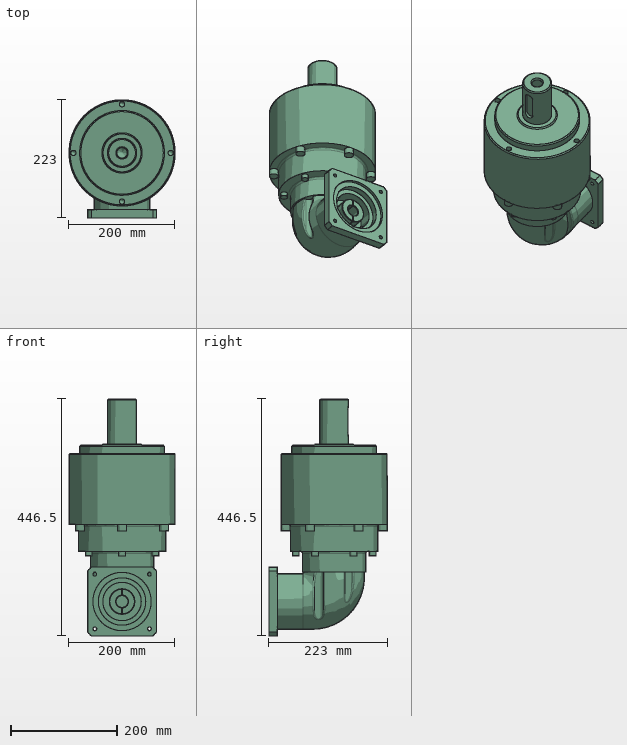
import cadquery as cq
import math


flange_side = 130.0
flange_thickness = 16.0
flange_front = -123.0
flange_corner = 7.0
flange_hole_spacing = 102.7
flange_hole_diameter = 6.5
recesses = [(110.0, 5.5), (89.5, 17.0), (72.5, 44.5)]

hub_diameter = 48.2
hub_face_depth = 17.0
hub_bore_diameter = 22.5
hub_slit_width = 2.0
hub_chamfer = 1.0

total_height = 446.5
shaft_top = total_height - flange_side / 2
collar_height = 2.2
pilot_top = 294.5
housing_top = 279.0
housing_bottom = 145.0
ring_bottom = 94.3
neck_bottom = 55.5

shaft_diameter = 55.0
collar_diameter = 76.0
pilot_diameter = 160.0
housing_diameter = 200.0
ring_diameter = 165.0
neck_diameter = 119.5
edge_chamfer = 2.2
root_fillet = 3.5

keyway_width = 16.0
keyway_length = 60.0
keyway_depth = 6.0
keyway_center = 340.0
center_hole_diameter = 19.5
center_hole_depth = 40.0
center_hole_mouth_diameter = 23.2
center_hole_mouth_depth = 3.0

mount_hole_diameter = 10.0
mount_hole_depth = 18.0
mount_circle_radius = 91.5
mount_hole_count = 4
drill_point_angle = 118.0
screw_count = 6
large_head_diameter = 17.0
large_head_height = 12.0
small_head_diameter = 13.0
small_head_height = 8.0
small_circle_radius = 72.5

tube_diameter = 105.0
elbow_top_diameter = 114.5
bend_radius = 98.0
bend_center_y = elbow_top_diameter / 2 - bend_radius
bend_center_z = bend_radius - tube_diameter / 2
bend_sections = 7
bend_pivot_gap = 2.0
bend_pivot_y = -elbow_top_diameter / 2 - bend_pivot_gap
bend_pivot_z = neck_bottom
flute_radius = 8.5
flute_circle_radius = elbow_top_diameter / 2
flute_rim_fillet = 2.2


def cylinder(diameter, bottom, top):
    return cq.Workplane("XY").workplane(offset=bottom).circle(diameter / 2).extrude(top - bottom)


def input_cylinder(diameter, front, back):
    """Cylinder on the input axis between two Y positions."""
    plane = cq.Plane(origin=(0, back, 0), xDir=(1, 0, 0), normal=(0, -1, 0))
    return cq.Workplane(plane).circle(diameter / 2).extrude(back - front)


def circle_points(radius, count):
    """Points evenly spaced on a circle, the first one on the +Y axis."""
    step = 2 * math.pi / count
    return [(radius * math.sin(i * step), radius * math.cos(i * step)) for i in range(count)]


def drilled_hole(diameter, depth, x, y, top):
    """Blind hole with a conical drill point."""
    radius = diameter / 2
    tip = radius / math.tan(math.radians(drill_point_angle / 2))
    profile = [(0, 0), (radius, 0), (radius, -depth), (0, -depth - tip)]
    hole = cq.Workplane("XZ").polyline(profile).close().revolve(360, (0, 0, 0), (0, 1, 0))
    return hole.translate((x, y, top))


def screw_heads(diameter, height, circle_radius, seat):
    points = circle_points(circle_radius, screw_count)
    return cq.Workplane("XY").workplane(offset=seat).pushPoints(points).circle(diameter / 2).extrude(-height)


def root_flare(diameter, seat):
    """Concave fillet ring where a cylinder meets the face above it."""
    radius = diameter / 2
    drop = root_fillet * (1 - math.sqrt(0.5))
    return (
        cq.Workplane("XZ")
        .moveTo(0, seat)
        .lineTo(radius + root_fillet, seat)
        .threePointArc((radius + drop, seat - drop), (radius, seat - root_fillet))
        .lineTo(0, seat - root_fillet)
        .close()
        .revolve(360, (0, 0, 0), (0, 1, 0))
    )


def output_body():
    shaft = cylinder(shaft_diameter, pilot_top, shaft_top).faces(">Z").chamfer(edge_chamfer)
    collar = cylinder(collar_diameter, pilot_top - collar_height, pilot_top + collar_height)
    collar = collar.faces(">Z").chamfer(collar_height)
    pilot = cylinder(pilot_diameter, housing_top, pilot_top).faces(">Z").chamfer(edge_chamfer)
    housing = cylinder(housing_diameter, housing_bottom, housing_top).faces(">Z").chamfer(edge_chamfer)
    ring = cylinder(ring_diameter, ring_bottom, housing_bottom)
    neck = cylinder(neck_diameter, neck_bottom, ring_bottom)
    body = housing.union(pilot).union(collar).union(shaft).union(ring).union(neck)
    body = body.union(root_flare(ring_diameter, housing_bottom))
    body = body.union(root_flare(neck_diameter, ring_bottom))
    body = body.union(screw_heads(large_head_diameter, large_head_height, mount_circle_radius, housing_bottom))
    return body.union(screw_heads(small_head_diameter, small_head_height, small_circle_radius, ring_bottom))


def keyway():
    """Round-ended keyway on the +Y side of the shaft."""
    floor = shaft_diameter / 2 - keyway_depth
    plane = cq.Plane(origin=(0, floor, keyway_center), xDir=(0, 0, 1), normal=(0, 1, 0))
    return cq.Workplane(plane).slot2D(keyway_length, keyway_width).extrude(2 * keyway_depth)


def center_hole():
    """Drilled hole with a conical mouth in the shaft end."""
    hole = drilled_hole(center_hole_diameter, center_hole_depth, 0, 0, shaft_top)
    radius = center_hole_diameter / 2
    mouth_radius = center_hole_mouth_diameter / 2
    mouth = cq.Solid.makeCone(
        radius,
        mouth_radius,
        center_hole_mouth_depth,
        cq.Vector(0, 0, shaft_top - center_hole_mouth_depth),
    )
    return hole.union(cq.Workplane(mouth))


def bend_span(angle):
    """Distances from the pivot to the inside and outside of the bend, at an angle below +Y."""
    if angle == math.pi / 2:
        return bend_pivot_z - tube_diameter / 2, bend_pivot_z + tube_diameter / 2
    gap_y = bend_center_y - bend_pivot_y
    gap_z = bend_center_z - bend_pivot_z
    along = gap_y * math.cos(angle) - gap_z * math.sin(angle)
    across = gap_y * math.sin(angle) + gap_z * math.cos(angle)
    return bend_pivot_gap, along + math.sqrt(bend_radius**2 - across**2)


def bend():
    """Loft of circles in planes fanned about a pivot in the inner corner of the elbow."""
    sections = []
    for i in range(bend_sections):
        angle = math.pi / 2 * i / (bend_sections - 1)
        inside, outside = bend_span(angle)
        middle = (inside + outside) / 2
        out_y = math.cos(angle)
        out_z = -math.sin(angle)
        plane = cq.Plane(
            origin=(0, bend_pivot_y + middle * out_y, bend_pivot_z + middle * out_z),
            xDir=(0, -out_y, -out_z),
            normal=(0, out_z, -out_y),
        )
        sections.append(cq.Workplane(plane).circle((outside - inside) / 2).val())
    return cq.Workplane(cq.Solid.makeLoft(sections))


def flutes():
    """Vertical U-shaped screw-clearance grooves, open sideways, along both flanks of the elbow."""
    bottom = -tube_diameter / 2
    height = neck_bottom - bottom
    points = [p for p in circle_points(flute_circle_radius, screw_count) if abs(p[0]) > flute_radius]
    base = cq.Workplane("XY").workplane(offset=bottom)
    cutter = base.pushPoints(points).circle(flute_radius).extrude(height)
    for x, y in points:
        outward = math.copysign(flute_circle_radius / 2, x)
        opening = base.center(x + outward, y).rect(flute_circle_radius, 2 * flute_radius).extrude(height)
        cutter = cutter.union(opening)
    return cutter


def fluted_bend():
    """Bend with its grooves cut and their rims rounded."""
    grooved = bend().cut(flutes())
    curves = grooved.edges("not(>Z or <Y)").edges("%BSPLINE").vals()
    rims = [edge for edge in curves if abs(edge.Center().x) > flute_radius]
    return grooved.newObject(rims).fillet(flute_rim_fillet)


def hub():
    """Bored clamping hub, slit across and standing on the floor of the deepest recess."""
    face = flange_front + hub_face_depth
    floor = flange_front + recesses[-1][1]
    bore = input_cylinder(hub_bore_diameter, face, floor)
    slit = cq.Workplane("XY").box(hub_slit_width, floor - face, hub_diameter)
    slit = slit.translate((0, (face + floor) / 2, 0))
    body = input_cylinder(hub_diameter, face, floor).cut(bore)
    return body.faces("<Y").chamfer(hub_chamfer).cut(slit)


def input_body():
    flange_back = flange_front + flange_thickness
    flange = (
        cq.Workplane("XY")
        .box(flange_side, flange_thickness, flange_side)
        .translate((0, flange_front + flange_thickness / 2, 0))
        .edges("|Y")
        .chamfer(flange_corner)
    )
    hole = input_cylinder(flange_hole_diameter, flange_front, flange_back)
    offset = flange_hole_spacing / 2
    for x in (-offset, offset):
        for z in (-offset, offset):
            flange = flange.cut(hole.translate((x, 0, z)))
    tube = input_cylinder(tube_diameter, flange_back, bend_pivot_y)
    body = fluted_bend().union(tube).union(flange)
    for diameter, depth in recesses:
        body = body.cut(input_cylinder(diameter, flange_front, flange_front + depth))
    return body.union(hub())


result = output_body().union(input_body())
result = result.cut(keyway()).cut(center_hole())
for x, y in circle_points(mount_circle_radius, mount_hole_count):
    result = result.cut(drilled_hole(mount_hole_diameter, mount_hole_depth, x, y, housing_top))